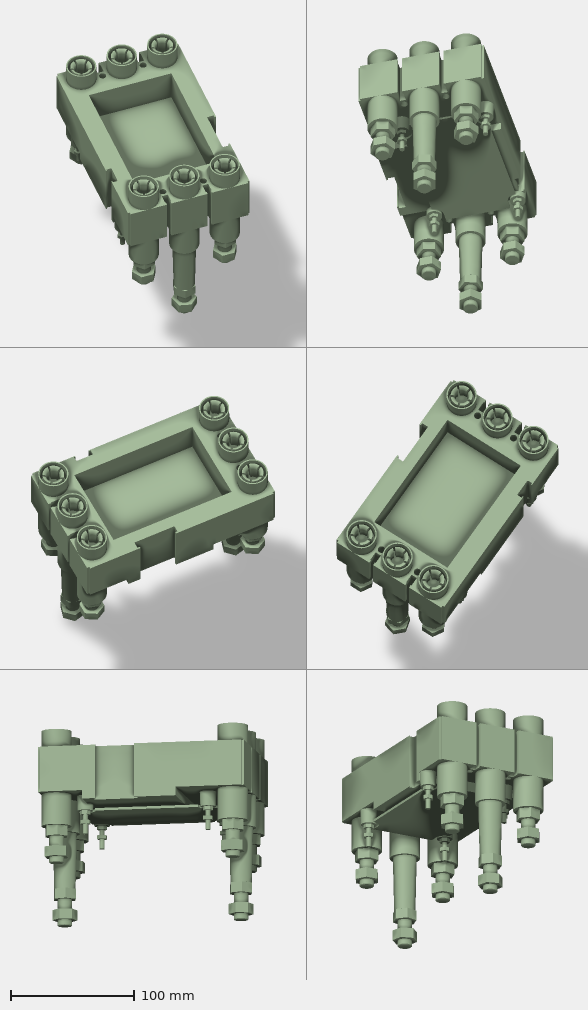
import cadquery as cq
import math


BLOCK_LENGTH = 170.0
BLOCK_WIDTH = 105.0
BLOCK_HEIGHT = 37.0
CORNER_NOTCH_X = 2.0
CORNER_NOTCH_Y = 1.7
POCKET_LENGTH = 106.8
POCKET_WIDTH = 71.4
POCKET_DEPTH = 27.7

PAD_LEFT = -28.7
PAD_RIGHT = 48.3
PAD_HEIGHT = 7.0

BACK_SLOT_X = 21.5
BACK_SLOT_WIDTH = 36.2
BACK_SLOT_DEPTH = 7.0
BACK_LIP_LENGTH = 2.0
BACK_LIP_THICKNESS = 1.4
FRONT_SLOT_X = 38.2
FRONT_SLOT_WIDTH = 15.1
FRONT_SLOT_DEPTH = 5.1
FRONT_LIP_LENGTH = 1.4
FRONT_LIP_THICKNESS = 0.8
FRONT_SLOT_ROUNDING = 1.2

BUSHING_RADIUS = 12.2
BUSHING_RISE = 15.1
BUSHING_DROP = 26.0
TERMINAL_PITCH = 35.0
TERMINAL_X = BLOCK_LENGTH / 2 - BUSHING_RADIUS

END_SLOT_DEPTH = 10.4
END_SLOT_WIDTH = 5.1
END_MOUTH_DEPTH = 2.5
END_MOUTH_WIDTH = 3.7
HOLE_RADIUS = 2.9
HOLE_INSET = 15.0

SOCKET_RADIUS = 11.2
CONTACT_OUTER_RADIUS = 8.8
CONTACT_INNER_RADIUS = 5.6
CONTACT_RECESS = 1.0
CONTACT_SLOTS = 5
CONTACT_SLOT_WIDTH = 1.7

STUD_RADIUS = 6.0
STUD_TIP_CHAMFER = 0.5
NUT_HEIGHT = 8.3
COLLAR_RADIUS = 9.9
COLLAR_TURN = 45
NUT_RADIUS = 10.2
NUT_GAP = 8.7
STUD_TIP_LENGTH = 4.8
SHORT_NUT_TURN = 30
LONG_NUT_TURN = 15
SLEEVE_LENGTH = 45.7
SLEEVE_TOP_RADIUS = 9.7
SLEEVE_BOTTOM_RADIUS = 8.7

POST_X = 0.3
POST_Y = -10.4
POST_PITCH_X = 101.3
POST_PITCH_Y = 70.0
POST_LENGTH = 12.0
POST_TOP_RADIUS = 6.8
POST_BOTTOM_RADIUS = 6.3
PIN_RADIUS = 2.0
PIN_LENGTH = 18.9
PIN_COLLAR_RADIUS = 4.2
PIN_COLLAR_HEIGHT = 3.0
PIN_NUT_RADIUS = 4.2
PIN_NUT_HEIGHT = 3.0
PIN_NUT_DROP = 7.8
PIN_NUT_TURN = 30

PLATE_LEFT = -57.3
PLATE_RIGHT = 57.3
PLATE_THICKNESS = 2.0
NOTCH_CLEARANCE = 8.2
NOTCH_ROUNDING = 7.6

TERMINAL_YS = [-TERMINAL_PITCH, 0, TERMINAL_PITCH]
POST_POINTS = [
    (POST_X + side_x * POST_PITCH_X / 2, POST_Y + side_y * POST_PITCH_Y / 2)
    for side_x in (-1, 1)
    for side_y in (-1, 1)
]


def box(x_min, x_max, y_min, y_max, z_min, z_max):
    """Box between two corners."""
    size = (x_max - x_min, y_max - y_min, z_max - z_min)
    return cq.Workplane("XY").box(*size, centered=False).translate((x_min, y_min, z_min))


def rod(radius, z_top, length):
    """Vertical cylinder on the Z axis, hanging down from z_top."""
    return cq.Workplane("XY").workplane(offset=z_top).circle(radius).extrude(-length)


def cone(top_radius, bottom_radius, z_top, length):
    """Tapered rod on the Z axis, hanging down from z_top."""
    return (
        cq.Workplane("XY")
        .workplane(offset=z_top)
        .circle(top_radius)
        .workplane(offset=-length)
        .circle(bottom_radius)
        .loft(ruled=True)
    )


def hexagon(corner_radius, turn, z_top, height):
    """Hexagonal nut on the Z axis, hanging down from z_top, with one corner at the angle turn."""
    prism = cq.Workplane("XY").workplane(offset=z_top).polygon(6, 2 * corner_radius).extrude(-height)
    return prism.rotate((0, 0, 0), (0, 0, 1), turn)


def undercut_slot(width, depth, lip_length, lip_thickness):
    """Slot entered in the +Y direction from Y = 0, narrowed at its mouth by two lips."""
    wide = box(-width / 2, width / 2, lip_thickness, depth, -PAD_HEIGHT, BLOCK_HEIGHT)
    mouth_half = width / 2 - lip_length
    mouth = box(-mouth_half, mouth_half, 0, depth, -PAD_HEIGHT, BLOCK_HEIGHT)
    return wide.union(mouth)


def make_block():
    """Block with its pad, pocket, corner notches, side slots and end slots."""
    half_length = BLOCK_LENGTH / 2
    half_width = BLOCK_WIDTH / 2
    block = box(-half_length, half_length, -half_width, half_width, 0, BLOCK_HEIGHT)
    block = block.union(box(PAD_LEFT, PAD_RIGHT, -half_width, half_width, -PAD_HEIGHT, 0))

    corner_notches = (
        cq.Workplane("XY")
        .rect(BLOCK_LENGTH, BLOCK_WIDTH, forConstruction=True)
        .vertices()
        .rect(2 * CORNER_NOTCH_X, 2 * CORNER_NOTCH_Y)
        .extrude(BLOCK_HEIGHT)
    )
    pocket = (
        cq.Workplane("XY")
        .workplane(offset=BLOCK_HEIGHT)
        .rect(POCKET_LENGTH, POCKET_WIDTH)
        .extrude(-POCKET_DEPTH)
    )
    block = block.cut(corner_notches).cut(pocket)

    front_slot = undercut_slot(FRONT_SLOT_WIDTH, FRONT_SLOT_DEPTH, FRONT_LIP_LENGTH, FRONT_LIP_THICKNESS)
    front_slot = front_slot.faces(">X").edges(">Y").fillet(FRONT_SLOT_ROUNDING)
    back_slot = undercut_slot(BACK_SLOT_WIDTH, BACK_SLOT_DEPTH, BACK_LIP_LENGTH, BACK_LIP_THICKNESS)
    back_slot = back_slot.rotate((0, 0, 0), (0, 0, 1), 180)
    block = block.cut(front_slot.translate((FRONT_SLOT_X, -half_width, 0)))
    block = block.cut(back_slot.translate((BACK_SLOT_X, half_width, 0)))

    end_lip_length = (END_SLOT_WIDTH - END_MOUTH_WIDTH) / 2
    end_slot = undercut_slot(END_SLOT_WIDTH, END_SLOT_DEPTH, end_lip_length, END_MOUTH_DEPTH)
    for side in (-1, 1):
        inward_slot = end_slot.rotate((0, 0, 0), (0, 0, 1), side * 90)
        for y in (-TERMINAL_PITCH / 2, TERMINAL_PITCH / 2):
            hole = rod(HOLE_RADIUS, BLOCK_HEIGHT, BLOCK_HEIGHT)
            block = block.cut(inward_slot.translate((side * half_length, y, 0)))
            block = block.cut(hole.translate((side * (half_length - HOLE_INSET), y, 0)))
    return block


def make_contact():
    """Slotted contact ring whose top edge is rounded in towards its bore."""
    base = BLOCK_HEIGHT
    top = BLOCK_HEIGHT + BUSHING_RISE - CONTACT_RECESS
    rounding = CONTACT_OUTER_RADIUS - CONTACT_INNER_RADIUS
    arc_middle = (
        CONTACT_OUTER_RADIUS - rounding * math.sin(math.pi / 4),
        top - rounding * (1 - math.cos(math.pi / 4)),
    )
    contact = (
        cq.Workplane("XZ")
        .moveTo(CONTACT_INNER_RADIUS, base)
        .lineTo(CONTACT_OUTER_RADIUS, base)
        .lineTo(CONTACT_OUTER_RADIUS, top)
        .threePointArc(arc_middle, (CONTACT_INNER_RADIUS, top - rounding))
        .close()
        .revolve(360, (0, 0, 0), (0, 1, 0))
    )
    half_slot = CONTACT_SLOT_WIDTH / 2
    slot = box(-half_slot, half_slot, -SOCKET_RADIUS, 0, base, top)
    for number in range(CONTACT_SLOTS):
        contact = contact.cut(slot.rotate((0, 0, 0), (0, 0, 1), number * 360 / CONTACT_SLOTS))
    return contact


def make_stud(z_top, nut_turn):
    """Hexagonal collar with a threaded stud below it and a nut near the stud tip."""
    nut_top = z_top - NUT_HEIGHT - NUT_GAP
    stud_length = 2 * NUT_HEIGHT + NUT_GAP + STUD_TIP_LENGTH
    stud = rod(STUD_RADIUS, z_top, stud_length).faces("<Z").chamfer(STUD_TIP_CHAMFER)
    stud = stud.union(hexagon(COLLAR_RADIUS, COLLAR_TURN, z_top, NUT_HEIGHT))
    return stud.union(hexagon(NUT_RADIUS, nut_turn, nut_top, NUT_HEIGHT))


def make_terminal(is_long):
    """Bushing through the block, with a socket on top and a stud below; long ones add a sleeve."""
    bushing_length = BUSHING_RISE + BLOCK_HEIGHT + BUSHING_DROP
    bushing_top = BLOCK_HEIGHT + BUSHING_RISE
    terminal = rod(BUSHING_RADIUS, bushing_top, bushing_length)
    terminal = terminal.cut(rod(SOCKET_RADIUS, bushing_top, BUSHING_RISE)).union(make_contact())
    if not is_long:
        return terminal.union(make_stud(-BUSHING_DROP, SHORT_NUT_TURN))
    sleeve = cone(SLEEVE_TOP_RADIUS, SLEEVE_BOTTOM_RADIUS, -BUSHING_DROP, SLEEVE_LENGTH)
    return terminal.union(sleeve).union(make_stud(-BUSHING_DROP - SLEEVE_LENGTH, LONG_NUT_TURN))


def make_post():
    """Tapered support post with a collar, a pin and a small nut below it."""
    post = cone(POST_TOP_RADIUS, POST_BOTTOM_RADIUS, 0, POST_LENGTH)
    post = post.union(rod(PIN_RADIUS, -POST_LENGTH, PIN_LENGTH))
    post = post.union(hexagon(PIN_COLLAR_RADIUS, 0, -POST_LENGTH, PIN_COLLAR_HEIGHT))
    nut_top = -POST_LENGTH - PIN_NUT_DROP
    return post.union(hexagon(PIN_NUT_RADIUS, PIN_NUT_TURN, nut_top, PIN_NUT_HEIGHT))


def make_housing():
    """Block joined with its six terminals and four posts."""
    housing = make_block()
    for x in (-TERMINAL_X, TERMINAL_X):
        for y in TERMINAL_YS:
            housing = housing.union(make_terminal(is_long=(y == 0)).translate((x, y, 0)))
    for x, y in POST_POINTS:
        housing = housing.union(make_post().translate((x, y, 0)))
    return housing


def make_plate():
    """Flat plate with a round-cornered notch around each post, ending level with the post centres."""
    z_top = -POST_LENGTH + PLATE_THICKNESS
    notch_left = POST_X - POST_PITCH_X / 2 + NOTCH_CLEARANCE
    notch_right = POST_X + POST_PITCH_X / 2 - NOTCH_CLEARANCE
    half_width = POST_PITCH_Y / 2
    half_wing = half_width - NOTCH_CLEARANCE
    body = box(notch_left, notch_right, POST_Y - half_width, POST_Y + half_width, -POST_LENGTH, z_top)
    wings = box(PLATE_LEFT, PLATE_RIGHT, POST_Y - half_wing, POST_Y + half_wing, -POST_LENGTH, z_top)
    inner_corners = cq.selectors.BoxSelector(
        (notch_left - NOTCH_CLEARANCE / 2, POST_Y - half_width + NOTCH_CLEARANCE / 2, -POST_LENGTH),
        (notch_right + NOTCH_CLEARANCE / 2, POST_Y + half_width - NOTCH_CLEARANCE / 2, z_top),
    )
    return body.union(wings).edges("|Z").edges(inner_corners).fillet(NOTCH_ROUNDING)


housing = make_housing()
plate = make_plate()

result = cq.Compound.makeCompound([housing.val(), plate.val()])